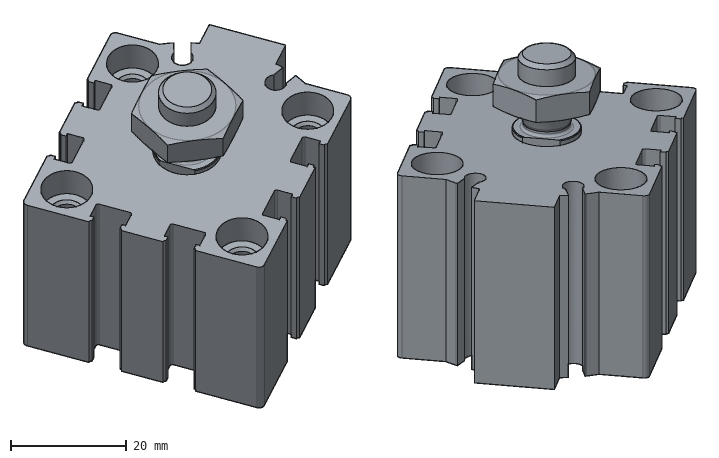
import cadquery as cq
import math

HOUSING_SIDE = 44.5
HOUSING_HEIGHT = 35.0
CORNER_RADIUS = 1.0
HALF_SIDE = HOUSING_SIDE / 2

SLOT_OFFSET = 6.85
SLOT_MOUTH = 5.2
SLOT_WIDTH = 6.55
SLOT_DEPTH = 4.65
SLOT_LIP = 1.4
SLOT_LIP_RADIUS = 0.4
SLOT_CORNER_RADIUS = 0.4

RAIL_TOP = 29.75
RAIL_HALF_WIDTH = 7.05
FOOT_HALF_WIDTH = 8.55
FOOT_SIDE_Y = 24.9
FOOT_TIP_Y = 24.5
SHOULDER_TIP_X = 11.55
SHOULDER_TIP_Y = 23.35
SHOULDER_END_X = 13.5

SENSOR_X = 8.65
SENSOR_Y = 20.65
SENSOR_RADIUS = 1.85
SENSOR_MOUTH = 2.9
SENSOR_TILT = 20.8
SENSOR_LENGTH = 6.25

HOLE_OFFSET = 16.2
HOLE_DIAMETER = 4.95
COUNTERSINK_DIAMETER = 6.05
COUNTERBORE_DIAMETER = 9.0
COUNTERBORE_DEPTH = 5.7

ROD_HEIGHT = 15.05
ROD_DIAMETER = 10.0
ROD_TIP_DIAMETER = 8.5
ROD_TIP_CHAMFER = 0.8
THREAD_BOTTOM = 4.65
TAPER_BOTTOM = 2.35
TAPER_BOTTOM_DIAMETER = 8.55
TAPER_SAG = 0.05
GROOVE_TOP = 1.9
GROOVE_BOTTOM = 1.5
GROOVE_DIAMETER = 8.2
COLLAR_DIAMETER = 12.0
COLLAR_TOP = 1.0
COLLAR_CHAMFER = 0.15
COLLAR_FLATS = 10.0
ROD_SEAT_DEPTH = 5.0

NUT_FLATS = 17.0
NUT_THICKNESS = 5.05
NUT_BOTTOM = 6.0
NUT_FACE_DIAMETER = 16.85
NUT_CHAMFER_ANGLE = 15.0
NUT_TURN = 30.0


def housing_outline():
    """Square block with the rail and its flared foot on the back face."""
    right_side = [
        (HALF_SIDE, -HALF_SIDE),
        (HALF_SIDE, HALF_SIDE),
        (SHOULDER_END_X, HALF_SIDE),
        (SHOULDER_TIP_X, SHOULDER_TIP_Y),
        (FOOT_HALF_WIDTH, FOOT_TIP_Y),
        (RAIL_HALF_WIDTH, FOOT_SIDE_Y),
        (RAIL_HALF_WIDTH, RAIL_TOP),
    ]
    left_side = [(-x, y) for x, y in reversed(right_side)]
    block = cq.Workplane("XY").polyline(right_side + left_side).close().extrude(HOUSING_HEIGHT)
    for x in (-HALF_SIDE, HALF_SIDE):
        for y in (-HALF_SIDE, HALF_SIDE):
            nearest_edge = cq.selectors.NearestToPointSelector((x, y, HOUSING_HEIGHT / 2))
            block = block.edges("|Z").edges(nearest_edge).fillet(CORNER_RADIUS)
    return block


def t_slot():
    """Cutter for one T-slot in the front face, centred on X = 0, with rounded lips."""
    face_y = -HALF_SIDE
    lip_y = face_y + SLOT_LIP
    floor_y = face_y + SLOT_DEPTH
    half_mouth = SLOT_MOUTH / 2
    chamber = (
        cq.Workplane("XY")
        .center(0, (lip_y + floor_y) / 2)
        .rect(SLOT_WIDTH, floor_y - lip_y)
        .extrude(HOUSING_HEIGHT)
        .edges("|Z and >Y")
        .fillet(SLOT_CORNER_RADIUS)
    )
    mouth = (
        cq.Workplane("XY")
        .moveTo(-half_mouth, lip_y)
        .lineTo(-half_mouth, face_y + SLOT_LIP_RADIUS)
        .radiusArc((-half_mouth - SLOT_LIP_RADIUS, face_y), -SLOT_LIP_RADIUS)
        .lineTo(half_mouth + SLOT_LIP_RADIUS, face_y)
        .radiusArc((half_mouth, face_y + SLOT_LIP_RADIUS), -SLOT_LIP_RADIUS)
        .lineTo(half_mouth, lip_y)
        .close()
        .extrude(HOUSING_HEIGHT)
    )
    return chamber.union(mouth)


def sensor_slot():
    """Cutter for the right-hand sensor slot: a round channel with a tilted mouth."""
    channel = cq.Workplane("XY").circle(SENSOR_RADIUS).extrude(HOUSING_HEIGHT)
    mouth = (
        cq.Workplane("XY")
        .center(0, SENSOR_LENGTH / 2)
        .rect(SENSOR_MOUTH, SENSOR_LENGTH)
        .extrude(HOUSING_HEIGHT)
    )
    slot = channel.union(mouth).rotate((0, 0, 0), (0, 0, 1), -SENSOR_TILT)
    return slot.translate((SENSOR_X, SENSOR_Y, 0))


def mounting_hole():
    """Cutter for a stepped through hole: counterbore, countersink and bore."""
    floor_z = HOUSING_HEIGHT - COUNTERBORE_DEPTH
    bore_radius = HOLE_DIAMETER / 2
    sink_radius = COUNTERSINK_DIAMETER / 2
    counterbore_radius = COUNTERBORE_DIAMETER / 2
    profile = [
        (0, 0),
        (bore_radius, 0),
        (bore_radius, floor_z - (sink_radius - bore_radius)),
        (sink_radius, floor_z),
        (counterbore_radius, floor_z),
        (counterbore_radius, HOUSING_HEIGHT),
        (0, HOUSING_HEIGHT),
    ]
    return cq.Workplane("XZ").polyline(profile).close().revolve(360, (0, 0, 0), (0, 1, 0))


def make_housing():
    body = housing_outline()
    for turn in (-90, 0, 90):
        for offset in (-SLOT_OFFSET, SLOT_OFFSET):
            slot = t_slot().translate((offset, 0, 0))
            body = body.cut(slot.rotate((0, 0, 0), (0, 0, 1), turn))
    right_sensor_slot = sensor_slot()
    body = body.cut(right_sensor_slot).cut(right_sensor_slot.mirror("YZ"))
    for x in (-HOLE_OFFSET, HOLE_OFFSET):
        for y in (-HOLE_OFFSET, HOLE_OFFSET):
            body = body.cut(mounting_hole().translate((x, y, 0)))
    rod_seat = (
        cq.Workplane("XY", origin=(0, 0, HOUSING_HEIGHT - ROD_SEAT_DEPTH))
        .circle(COLLAR_DIAMETER / 2)
        .extrude(ROD_SEAT_DEPTH)
    )
    return body.cut(rod_seat)


def make_rod():
    """Turned rod whose flatted collar sits in the housing; heights start at the housing top."""
    rod_radius = ROD_DIAMETER / 2
    taper_radius = TAPER_BOTTOM_DIAMETER / 2
    groove_radius = GROOVE_DIAMETER / 2
    collar_radius = COLLAR_DIAMETER / 2
    root_fillet = GROOVE_BOTTOM - COLLAR_TOP
    taper_middle = (
        (rod_radius + taper_radius) / 2 - TAPER_SAG,
        (THREAD_BOTTOM + TAPER_BOTTOM) / 2,
    )
    shank = (
        cq.Workplane("XZ")
        .moveTo(0, COLLAR_TOP)
        .lineTo(groove_radius + root_fillet, COLLAR_TOP)
        .radiusArc((groove_radius, GROOVE_BOTTOM), root_fillet)
        .lineTo(groove_radius, GROOVE_TOP)
        .lineTo(taper_radius, TAPER_BOTTOM)
        .threePointArc(taper_middle, (rod_radius, THREAD_BOTTOM))
        .lineTo(rod_radius, ROD_HEIGHT - ROD_TIP_CHAMFER)
        .lineTo(ROD_TIP_DIAMETER / 2, ROD_HEIGHT)
        .lineTo(0, ROD_HEIGHT)
        .close()
        .revolve(360, (0, 0, 0), (0, 1, 0))
    )
    collar_height = COLLAR_TOP + ROD_SEAT_DEPTH
    collar = (
        cq.Workplane("XY", origin=(0, 0, -ROD_SEAT_DEPTH))
        .circle(collar_radius)
        .extrude(collar_height)
        .faces(">Z")
        .chamfer(COLLAR_CHAMFER)
    )
    flats = (
        cq.Workplane("XY", origin=(0, 0, -ROD_SEAT_DEPTH))
        .rect(COLLAR_DIAMETER, COLLAR_FLATS)
        .extrude(collar_height)
    )
    return shank.union(collar.intersect(flats)).translate((0, 0, HOUSING_HEIGHT))


def make_nut():
    """Hexagon nut with two flats facing left and right and both faces chamfered."""
    corner_radius = NUT_FLATS / math.sqrt(3)
    face_radius = NUT_FACE_DIAMETER / 2
    chamfer_drop = (corner_radius - face_radius) * math.tan(math.radians(NUT_CHAMFER_ANGLE))
    hexagon = (
        cq.Workplane("XY")
        .polygon(6, 2 * corner_radius)
        .extrude(NUT_THICKNESS)
        .rotate((0, 0, 0), (0, 0, 1), NUT_TURN)
    )
    envelope_profile = [
        (0, 0),
        (face_radius, 0),
        (corner_radius, chamfer_drop),
        (corner_radius, NUT_THICKNESS - chamfer_drop),
        (face_radius, NUT_THICKNESS),
        (0, NUT_THICKNESS),
    ]
    envelope = cq.Workplane("XZ").polyline(envelope_profile).close().revolve(360, (0, 0, 0), (0, 1, 0))
    bore = cq.Workplane("XY").circle(ROD_DIAMETER / 2).extrude(NUT_THICKNESS)
    nut = hexagon.intersect(envelope).cut(bore)
    return nut.translate((0, 0, HOUSING_HEIGHT + NUT_BOTTOM))


housing = make_housing()
rod = make_rod()
nut = make_nut()

result = cq.Compound.makeCompound([housing.val(), rod.val(), nut.val()])